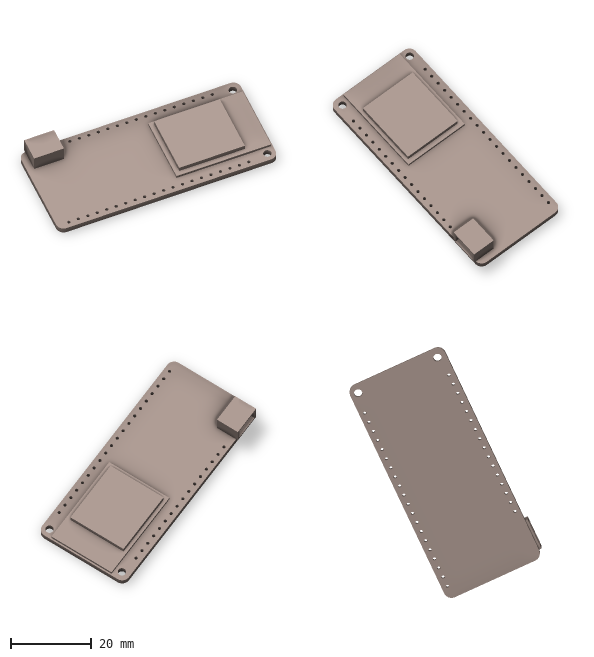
import cadquery as cq

board_length = 58.9
board_width = 25.85
board_thickness = 1.6
board_corner_radius = 2.0

mounting_hole_diameter = 2.05
mounting_hole_centres = [(-10.65, 27.15), (10.9, 27.3)]

pin_hole_diameter = 0.8
left_pin_count = 16
left_row_start = (-11.4, 22.0)
left_row_end = (-11.65, -16.15)
right_pin_count = 20
right_row_start = (11.55, 22.05)
right_row_end = (11.45, -26.2)

carrier_width = 18.0
carrier_length = 25.4
carrier_thickness = 0.7
carrier_left_x = -8.85
carrier_edge_gap = 0.4
can_width = 15.85
can_length = 17.6
can_height = 1.25
can_left_inset = 0.9
can_front_inset = 1.25

connector_depth = 6.25
connector_width = 8.0
connector_height = 4.2
connector_overhang = 0.55
connector_centre_y = -23.6
connector_side_wall = 0.7
connector_floor_and_roof = 0.5
connector_back_wall = 0.5


def box_from_corner(size, corner):
    """Box of the given size, growing from its lowest X, Y, Z corner."""
    return cq.Workplane("XY").box(*size, centered=False).translate(corner)


def pin_row(start, end, count):
    """Centres of evenly spaced holes on the straight line from start to end."""
    step_x = (end[0] - start[0]) / (count - 1)
    step_y = (end[1] - start[1]) / (count - 1)
    return [(start[0] + i * step_x, start[1] + i * step_y) for i in range(count)]


def make_board():
    left_pins = pin_row(left_row_start, left_row_end, left_pin_count)
    right_pins = pin_row(right_row_start, right_row_end, right_pin_count)
    return (
        cq.Workplane("XY")
        .box(board_width, board_length, board_thickness, centered=(True, True, False))
        .edges("|Z")
        .fillet(board_corner_radius)
        .faces(">Z")
        .workplane(centerOption="ProjectedOrigin", origin=(0, 0, 0))
        .pushPoints(mounting_hole_centres)
        .hole(mounting_hole_diameter)
        .pushPoints(left_pins + right_pins)
        .hole(pin_hole_diameter)
    )


def make_radio_module():
    carrier_front_y = board_length / 2 - carrier_edge_gap - carrier_length
    carrier = box_from_corner(
        (carrier_width, carrier_length, carrier_thickness),
        (carrier_left_x, carrier_front_y, board_thickness),
    )
    can = box_from_corner(
        (can_width, can_length, can_height),
        (
            carrier_left_x + can_left_inset,
            carrier_front_y + can_front_inset,
            board_thickness + carrier_thickness,
        ),
    )
    return carrier.union(can)


def make_connector():
    left_x = -board_width / 2 - connector_overhang
    front_y = connector_centre_y - connector_width / 2
    shell = box_from_corner(
        (connector_depth, connector_width, connector_height),
        (left_x, front_y, board_thickness),
    )
    socket = box_from_corner(
        (
            connector_depth - connector_back_wall,
            connector_width - 2 * connector_side_wall,
            connector_height - 2 * connector_floor_and_roof,
        ),
        (left_x, front_y + connector_side_wall, board_thickness + connector_floor_and_roof),
    )
    return shell.cut(socket)


result = make_board().union(make_radio_module()).union(make_connector())